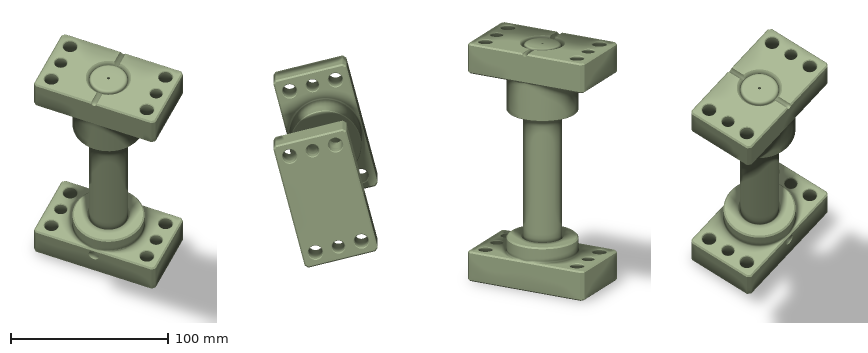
import cadquery as cq

total_height = 160.4

plate_length = 84.0
plate_width = 48.0
plate_thickness = 20.0
plate_edge_chamfer = 1.0
plate_corner_chamfer = 2.0

collar_diameter = 45.9
base_collar_height = 10.0
head_collar_height = 25.0
base_collar_chamfer = 1.0
head_collar_chamfer = 0.5
collar_root_fillet = 1.0

pillar_diameter = 25.0
pillar_end_round = 2.5
pillar_recess = 0.3
centre_hole_diameter = 2.0
centre_hole_depth = 2.0
base_bore_chamfer = 1.0
head_bore_chamfer = 2.0

hole_row_offset = 33.0
outer_hole_offset = 15.0
outer_hole_diameter = 9.0
middle_hole_diameter = 8.0
hole_chamfer = 0.5

screw_hole_diameter = 7.0
screw_hole_drop = 5.0

groove_radius = 2.0


def make_collared_plate(collar_height, collar_chamfer):
    """Chamfered plate resting on Z = 0, with a round collar standing on its upper face."""
    plate = (
        cq.Workplane("XY")
        .box(plate_length, plate_width, plate_thickness, centered=(True, True, False))
        .edges("|Z")
        .chamfer(plate_corner_chamfer)
        .faces("<Z or >Z")
        .chamfer(plate_edge_chamfer)
    )
    collar = (
        cq.Workplane("XY", origin=(0, 0, plate_thickness))
        .circle(collar_diameter / 2)
        .extrude(collar_height)
        .faces(">Z")
        .chamfer(collar_chamfer)
    )
    return plate.union(collar).edges("%CIRCLE").edges("<Z").fillet(collar_root_fillet)


def make_hole_cutter(x, y, diameter):
    """Cutter for a through hole in a plate, flared to a chamfer at both plate faces."""
    radius = diameter / 2
    mouth_radius = radius + hole_chamfer
    profile = [
        (0, 0),
        (mouth_radius, 0),
        (radius, hole_chamfer),
        (radius, plate_thickness - hole_chamfer),
        (mouth_radius, plate_thickness),
        (0, plate_thickness),
    ]
    cutter = cq.Workplane("XZ").polyline(profile).close().revolve(360, (0, 0, 0), (0, 1, 0))
    return cutter.translate((x, y, 0))


def cut_mounting_holes(plate):
    """Drill a row of three mounting holes at each end of a plate."""
    for x in (-hole_row_offset, hole_row_offset):
        plate = plate.cut(make_hole_cutter(x, 0, middle_hole_diameter))
        for y in (-outer_hole_offset, outer_hole_offset):
            plate = plate.cut(make_hole_cutter(x, y, outer_hole_diameter))
    return plate


def cut_bore(plate, height, mouth_z, mouth_chamfer):
    """Cut the pillar bore through a plate and its collar, and chamfer the mouth at mouth_z."""
    radius = pillar_diameter / 2
    bore = cq.Workplane("XY").circle(radius).extrude(height)
    inward = mouth_chamfer if mouth_z == 0 else -mouth_chamfer
    mouth = (
        cq.Workplane("XZ")
        .moveTo(0, mouth_z)
        .lineTo(radius + mouth_chamfer, mouth_z)
        .lineTo(radius, mouth_z + inward)
        .lineTo(0, mouth_z + inward)
        .close()
        .revolve(360, (0, 0, 0), (0, 1, 0))
    )
    return plate.cut(bore).cut(mouth)


def make_base():
    """Lower plate with its collar facing up and a set-screw hole in the -Y side."""
    height = plate_thickness + base_collar_height
    base = cut_mounting_holes(make_collared_plate(base_collar_height, base_collar_chamfer))
    base = cut_bore(base, height, height, base_bore_chamfer)
    screw_hole = (
        cq.Workplane("XZ", origin=(0, 0, plate_thickness - screw_hole_drop))
        .circle(screw_hole_diameter / 2)
        .extrude(plate_width)
    )
    return base.cut(screw_hole)


def make_head():
    """Upper plate with its collar facing down and a groove across its top face."""
    height = plate_thickness + head_collar_height
    head = cut_mounting_holes(make_collared_plate(head_collar_height, head_collar_chamfer))
    head = cut_bore(head, height, 0, head_bore_chamfer)
    groove = (
        cq.Workplane("XZ", origin=(0, plate_width, 0))
        .moveTo(-groove_radius, 0)
        .threePointArc((0, groove_radius), (groove_radius, 0))
        .close()
        .extrude(2 * plate_width)
    )
    head = head.cut(groove)
    return head.rotate((0, 0, 0), (1, 0, 0), 180).translate((0, 0, total_height))


def make_pillar():
    """Pillar from the underside of the base to just below the top, with a centre hole in its upper end."""
    length = total_height - pillar_recess
    pillar = (
        cq.Workplane("XY")
        .circle(pillar_diameter / 2)
        .extrude(length)
        .faces(">Z")
        .edges()
        .fillet(pillar_end_round)
    )
    centre_hole = (
        cq.Workplane("XY", origin=(0, 0, length))
        .circle(centre_hole_diameter / 2)
        .extrude(-centre_hole_depth)
    )
    return pillar.cut(centre_hole)


base = make_base()
head = make_head()
pillar = make_pillar()

result = cq.Compound.makeCompound([base.solids().val(), head.solids().val(), pillar.solids().val()])